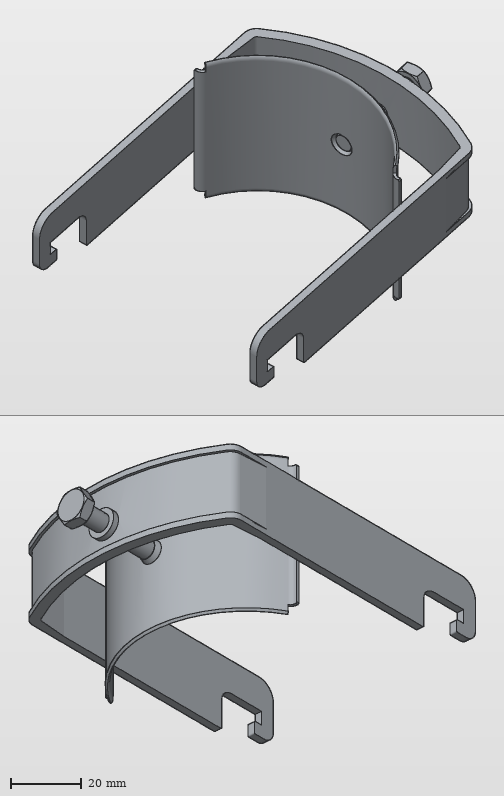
import cadquery as cq
import math

TOTAL_LENGTH = 125.7

STRAP_WIDTH = 81.0
STRAP_BOTTOM = -9.8
STRAP_HEIGHT = 25.0
ARM_THICKNESS = 2.5
CROWN_Y = 112.0
CROWN_RADIUS = 76.7
CROWN_THICKNESS = 3.4
OUTER_CORNER_RADIUS = 4.4
INNER_CORNER_RADIUS = 1.3
EMBOSS_DEPTH = 0.9
EMBOSS_START_Y = 87.6
EMBOSS_MARGIN = 2.0

END_TOP_RADIUS = 6.0
END_BOTTOM_RADIUS = 4.0
HOOK_BOTTOM = -4.9
HOOK_LENGTH = 8.0
HOOK_THICKNESS = 5.0
HOOK_TIP_TOP = -0.6
NOTCH_TOP = 4.0
NOTCH_DEPTH = 21.6
NOTCH_RADIUS = 4.0
SMALL_RADIUS = 0.5

SHANK_DIAMETER = 6.0
TIP_DIAMETER = 5.4
HEAD_FLATS = 10.3
HEAD_HEIGHT = 4.0
HEAD_CHAMFER_DIAMETER = 10.0
HEAD_CHAMFER_ANGLE = 30.0
WASHER_FACE_DIAMETER = 6.8
WASHER_FACE_HEIGHT = 0.4
COLLAR_DIAMETER = 9.5
COLLAR_TOP_Y = 113.0

SADDLE_HEIGHT = 53.4
SADDLE_RADIUS = 39.0
SADDLE_THICKNESS = 1.0
SADDLE_FRONT_Y = 91.1
SADDLE_HALF_ANGLE = 60.0
LIP_HEIGHT = 1.5
LIP_ANGLE = 50.0
TAB_SPAN = 74.2
TAB_HEIGHT = 47.0
TAB_BEND_RADIUS = 2.9
TAB_CORNER = 0.4
DIMPLE_MOUTH_DIAMETER = 7.4
DIMPLE_DEPTH = 1.4
DIMPLE_HEIGHT = 1.9
DIMPLE_BASE_DIAMETER = 7.5
DIMPLE_RIM_DIAMETER = 6.3
TIP_RECESS = 0.8

STRAP_TOP = STRAP_BOTTOM + STRAP_HEIGHT
SADDLE_AXIS_Y = SADDLE_FRONT_Y - SADDLE_RADIUS
SADDLE_BACK_Y = SADDLE_FRONT_Y + SADDLE_THICKNESS
SCREW_TIP_Y = SADDLE_FRONT_Y + TIP_RECESS


def rod(diameter, start_y, end_y):
    """Cylinder on the screw axis."""
    return cq.Workplane("XZ", origin=(0, end_y, 0)).circle(diameter / 2).extrude(end_y - start_y)


def turned(points):
    """Solid of revolution about the screw axis from (radius, y) points."""
    return cq.Workplane("XY").polyline(points).close().revolve(360, (0, 0, 0), (0, 1, 0))


def arched_block(arm_half, corner_half, shoulder_y, crown_y, crown_radius, corner_radius, margin):
    """Solid block with straight sides to the shoulder, tapered sides to the corners and an arched end."""
    corner_y = crown_y - crown_radius + math.sqrt(crown_radius**2 - corner_half**2)
    return (
        cq.Workplane("XY", origin=(0, 0, STRAP_BOTTOM + margin))
        .moveTo(-arm_half, 0)
        .lineTo(-arm_half, shoulder_y)
        .lineTo(-corner_half, corner_y)
        .threePointArc((0, crown_y), (corner_half, corner_y))
        .lineTo(arm_half, shoulder_y)
        .lineTo(arm_half, 0)
        .close()
        .extrude(STRAP_HEIGHT - 2 * margin)
        .edges("|Z")
        .edges(">Y")
        .fillet(corner_radius)
    )


def arm_side_shape():
    """Side outline of the strap, with a hook and notch at the arm ends, through the full width."""
    r = SMALL_RADIUS
    return (
        cq.Workplane("YZ", origin=(-STRAP_WIDTH / 2, 0, 0))
        .moveTo(CROWN_Y, STRAP_TOP)
        .lineTo(END_TOP_RADIUS, STRAP_TOP)
        .radiusArc((0, STRAP_TOP - END_TOP_RADIUS), -END_TOP_RADIUS)
        .lineTo(0, HOOK_BOTTOM + END_BOTTOM_RADIUS)
        .radiusArc((END_BOTTOM_RADIUS, HOOK_BOTTOM), -END_BOTTOM_RADIUS)
        .lineTo(HOOK_LENGTH - r, HOOK_BOTTOM)
        .radiusArc((HOOK_LENGTH, HOOK_BOTTOM + r), -r)
        .lineTo(HOOK_LENGTH, HOOK_TIP_TOP - r)
        .radiusArc((HOOK_LENGTH - r, HOOK_TIP_TOP), -r)
        .lineTo(HOOK_THICKNESS, HOOK_TIP_TOP)
        .lineTo(HOOK_THICKNESS, NOTCH_TOP)
        .lineTo(NOTCH_DEPTH - NOTCH_RADIUS, NOTCH_TOP)
        .radiusArc((NOTCH_DEPTH, NOTCH_TOP - NOTCH_RADIUS), NOTCH_RADIUS)
        .lineTo(NOTCH_DEPTH, STRAP_BOTTOM + r)
        .radiusArc((NOTCH_DEPTH + r, STRAP_BOTTOM), -r)
        .lineTo(CROWN_Y, STRAP_BOTTOM)
        .close()
        .extrude(STRAP_WIDTH)
    )


def make_strap():
    """U-shaped strap whose arched end is embossed inward between two raised rims."""
    half = STRAP_WIDTH / 2
    outer = arched_block(half, half, EMBOSS_START_Y, CROWN_Y, CROWN_RADIUS, OUTER_CORNER_RADIUS, 0)
    inner = arched_block(
        half - ARM_THICKNESS,
        half - ARM_THICKNESS - EMBOSS_DEPTH,
        EMBOSS_START_Y,
        CROWN_Y - CROWN_THICKNESS,
        CROWN_RADIUS - CROWN_THICKNESS,
        INNER_CORNER_RADIUS,
        0,
    )
    embossed = arched_block(
        half,
        half - EMBOSS_DEPTH,
        EMBOSS_START_Y,
        CROWN_Y - EMBOSS_DEPTH,
        CROWN_RADIUS - EMBOSS_DEPTH,
        OUTER_CORNER_RADIUS,
        EMBOSS_MARGIN,
    )
    middle_band = cq.Workplane("XY", origin=(0, CROWN_Y / 2, STRAP_BOTTOM + EMBOSS_MARGIN)).box(
        STRAP_WIDTH, CROWN_Y, STRAP_HEIGHT - 2 * EMBOSS_MARGIN, centered=(True, True, False)
    )
    return outer.cut(middle_band.cut(embossed)).cut(inner).intersect(arm_side_shape())


def make_screw():
    """Hexagon head screw with chamfered head corners, a washer face and a chamfered tip."""
    corner_radius = HEAD_FLATS / math.sqrt(3)
    chamfer_radius = HEAD_CHAMFER_DIAMETER / 2
    chamfer_height = (corner_radius - chamfer_radius) * math.tan(math.radians(HEAD_CHAMFER_ANGLE))
    head_base_y = TOTAL_LENGTH - HEAD_HEIGHT
    hexagon = (
        cq.Workplane("XZ", origin=(0, TOTAL_LENGTH, 0)).polygon(6, 2 * corner_radius).extrude(HEAD_HEIGHT)
    )
    head = hexagon.intersect(
        turned(
            [
                (0, head_base_y),
                (chamfer_radius, head_base_y),
                (corner_radius, head_base_y + chamfer_height),
                (corner_radius, TOTAL_LENGTH - chamfer_height),
                (chamfer_radius, TOTAL_LENGTH),
                (0, TOTAL_LENGTH),
            ]
        )
    )
    washer_face = rod(WASHER_FACE_DIAMETER, head_base_y - WASHER_FACE_HEIGHT, head_base_y)
    tip_chamfer = (SHANK_DIAMETER - TIP_DIAMETER) / 2
    shank = rod(SHANK_DIAMETER, SCREW_TIP_Y, head_base_y).faces("<Y").chamfer(tip_chamfer)
    return head.union(washer_face).union(shank)


def make_clamp():
    """Strap, collar and screw as one solid."""
    collar = rod(COLLAR_DIAMETER, CROWN_Y - CROWN_THICKNESS / 2, COLLAR_TOP_Y)
    return make_strap().union(collar).union(make_screw())


def saddle_shell():
    """Part-cylinder sheet with both long edges flared outward."""
    half = SADDLE_HEIGHT / 2
    lip_angle = math.radians(LIP_ANGLE)
    bend_radius = LIP_HEIGHT / math.sin(lip_angle)
    bend_center_r = SADDLE_RADIUS + bend_radius
    bend_center_z = half - LIP_HEIGHT

    def bend_point(offset, fraction, side):
        radius = bend_radius - offset
        angle = lip_angle * fraction
        return (bend_center_r - radius * math.cos(angle), side * (bend_center_z + radius * math.sin(angle)))

    t = SADDLE_THICKNESS
    profile = (
        cq.Workplane("XZ")
        .moveTo(*bend_point(0, 0, -1))
        .lineTo(*bend_point(0, 0, 1))
        .threePointArc(bend_point(0, 0.5, 1), bend_point(0, 1, 1))
        .lineTo(*bend_point(t, 1, 1))
        .threePointArc(bend_point(t, 0.5, 1), bend_point(t, 0, 1))
        .lineTo(*bend_point(t, 0, -1))
        .threePointArc(bend_point(t, 0.5, -1), bend_point(t, 1, -1))
        .lineTo(*bend_point(0, 1, -1))
        .threePointArc(bend_point(0, 0.5, -1), bend_point(0, 0, -1))
        .close()
    )
    sheet = profile.revolve(2 * SADDLE_HALF_ANGLE, (0, 0, 0), (0, 1, 0))
    return sheet.rotate((0, 0, 0), (0, 0, 1), 90 - SADDLE_HALF_ANGLE).translate((0, SADDLE_AXIS_Y, 0))


def saddle_tab(side):
    """Foot that curves outward from one end of the saddle sheet until it runs along X."""
    end_angle = math.radians(SADDLE_HALF_ANGLE)
    center_r = SADDLE_RADIUS + TAB_BEND_RADIUS
    center_x = center_r * math.sin(end_angle)
    center_y = SADDLE_AXIS_Y + center_r * math.cos(end_angle)
    front_radius = TAB_BEND_RADIUS
    back_radius = TAB_BEND_RADIUS - SADDLE_THICKNESS

    def bend_point(radius, fraction):
        angle = end_angle * fraction
        return (side * (center_x - radius * math.sin(angle)), center_y - radius * math.cos(angle))

    tab = (
        cq.Workplane("XY", origin=(0, 0, -TAB_HEIGHT / 2))
        .moveTo(*bend_point(front_radius, 1))
        .threePointArc(bend_point(front_radius, 0.5), bend_point(front_radius, 0))
        .lineTo(side * TAB_SPAN / 2, center_y - front_radius)
        .lineTo(side * TAB_SPAN / 2, center_y - back_radius)
        .lineTo(*bend_point(back_radius, 0))
        .threePointArc(bend_point(back_radius, 0.5), bend_point(back_radius, 1))
        .close()
        .extrude(TAB_HEIGHT)
    )
    free_end = ">X" if side > 0 else "<X"
    return tab.faces(free_end).edges("|Y").chamfer(TAB_CORNER)


def make_saddle():
    """Curved pressure saddle with two feet and a conical dimple that holds the screw tip."""
    hole_radius = SHANK_DIAMETER / 2
    dimple_base_y = SADDLE_FRONT_Y + SADDLE_THICKNESS / 2
    clear_y = SADDLE_FRONT_Y - SADDLE_THICKNESS
    dimple_top_y = SADDLE_BACK_Y + DIMPLE_HEIGHT
    dimple = turned(
        [
            (0, dimple_base_y),
            (DIMPLE_BASE_DIAMETER / 2, dimple_base_y),
            (DIMPLE_BASE_DIAMETER / 2, SADDLE_BACK_Y),
            (DIMPLE_RIM_DIAMETER / 2, dimple_top_y),
            (0, dimple_top_y),
        ]
    )
    bore = turned(
        [
            (0, clear_y),
            (DIMPLE_MOUTH_DIAMETER / 2, clear_y),
            (DIMPLE_MOUTH_DIAMETER / 2, SADDLE_FRONT_Y),
            (hole_radius, SADDLE_FRONT_Y + DIMPLE_DEPTH),
            (hole_radius, dimple_top_y),
            (0, dimple_top_y),
        ]
    )
    saddle = saddle_shell()
    for side in (-1, 1):
        saddle = saddle.union(saddle_tab(side))
    return saddle.union(dimple).cut(bore)


clamp = make_clamp()
saddle = make_saddle()

result = cq.Compound.makeCompound([clamp.val(), saddle.val()])